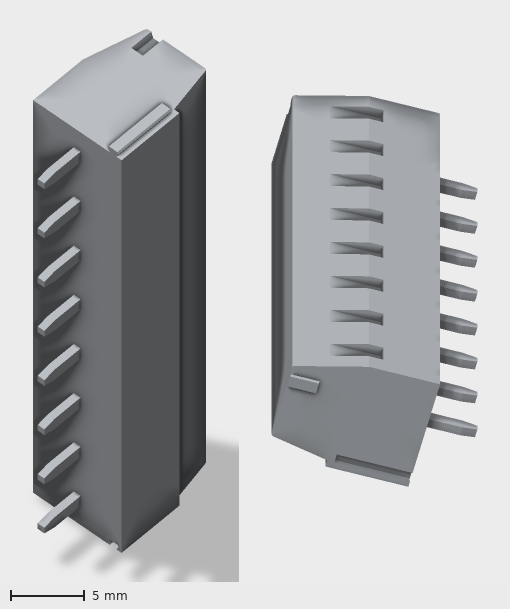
import cadquery as cq


total_height = 41.0
rail_height = 0.55
housing_height = total_height - 2 * rail_height
housing_width = 8.1
housing_depth = 10.0

left_slope_start = 5.0
left_slope_inset = 1.3
ledge_depth = 5.82
ledge_width = 0.5
back_right_inset = 1.3
back_corner_radius = 0.2

pole_count = 8
pole_pitch = 5.0

pin_length = 3.65
pin_width = 0.6
pin_height = 1.02
pin_tip_height = 0.57
pin_taper_length = 1.02

window_start = 3.98
window_end = 7.55
window_height = 1.75

rail_neck_width = 0.6
rail_widest_width = 1.0
rail_crest_width = 0.78
rail_widest_level = 0.35
front_rail_length = 5.35
front_rail_x = housing_width / 2 - 0.78
back_rail_length = 2.0
back_rail_x = -housing_width / 2 + 2.25
top_groove_mouth_width = 1.05
top_groove_floor_width = 0.75

left = -housing_width / 2
right = housing_width / 2
top = housing_height / 2
bottom = -top
back_rail_start = housing_depth - back_rail_length
pole_levels = [(i - (pole_count - 1) / 2) * pole_pitch for i in range(pole_count)]


def make_housing():
    outline = [
        (left, 0),
        (right, 0),
        (right, ledge_depth),
        (right - ledge_width, ledge_depth),
        (right - back_right_inset, housing_depth),
        (left + left_slope_inset, housing_depth),
        (left, left_slope_start),
    ]
    body = cq.Workplane("XY").workplane(offset=bottom).polyline(outline).close().extrude(housing_height)
    return body.edges("|Z and >Y").fillet(back_corner_radius)


def make_rail(center_x, start_y, length, base_z, z_sign):
    """Six-sided bar along Y, growing from its neck at base_z; z_sign is 1 for +Z, -1 for -Z."""
    half_section = [
        (rail_neck_width / 2, 0),
        (rail_widest_width / 2, rail_widest_level),
        (rail_crest_width / 2, rail_height),
    ]
    right_side = [(center_x + x, base_z + z_sign * z) for x, z in half_section]
    left_side = [(center_x - x, base_z + z_sign * z) for x, z in reversed(half_section)]
    section = cq.Workplane("XZ", origin=(0, start_y, 0)).polyline(right_side + left_side).close()
    return section.extrude(-length)


def make_top_groove():
    """Open groove that narrows from its mouth to its floor."""
    mouth = top_groove_mouth_width / 2
    floor = top_groove_floor_width / 2
    section = [
        (back_rail_x - mouth, top),
        (back_rail_x + mouth, top),
        (back_rail_x + floor, top - rail_height),
        (back_rail_x - floor, top - rail_height),
    ]
    profile = cq.Workplane("XZ", origin=(0, back_rail_start, 0)).polyline(section).close()
    return profile.extrude(-back_rail_length)


def make_pin(level):
    """Flat pin whose height tapers to a blunt tip."""
    taper_start = pin_taper_length - pin_length
    outline = [
        (0, level - pin_height / 2),
        (0, level + pin_height / 2),
        (taper_start, level + pin_height / 2),
        (-pin_length, level + pin_tip_height / 2),
        (-pin_length, level - pin_tip_height / 2),
        (taper_start, level - pin_height / 2),
    ]
    return cq.Workplane("YZ").polyline(outline).close().extrude(pin_width / 2, both=True)


def make_window(level):
    """Pocket with an upright floor that meets the sloped wall at the back end of the window."""
    slope = left_slope_inset / (housing_depth - left_slope_start)
    depth = slope * (window_end - left_slope_start)
    length = window_end - window_start
    pocket = cq.Workplane("XY").box(depth, length, window_height, centered=(False, False, True))
    return pocket.translate((left, window_start, level))


result = make_housing()

result = result.cut(make_top_groove())
result = result.cut(make_rail(front_rail_x, 0, front_rail_length, bottom, 1))

result = result.union(make_rail(front_rail_x, 0, front_rail_length, top, 1))
result = result.union(make_rail(back_rail_x, back_rail_start, back_rail_length, bottom, -1))

for level in pole_levels:
    result = result.cut(make_window(level))
    result = result.union(make_pin(level))